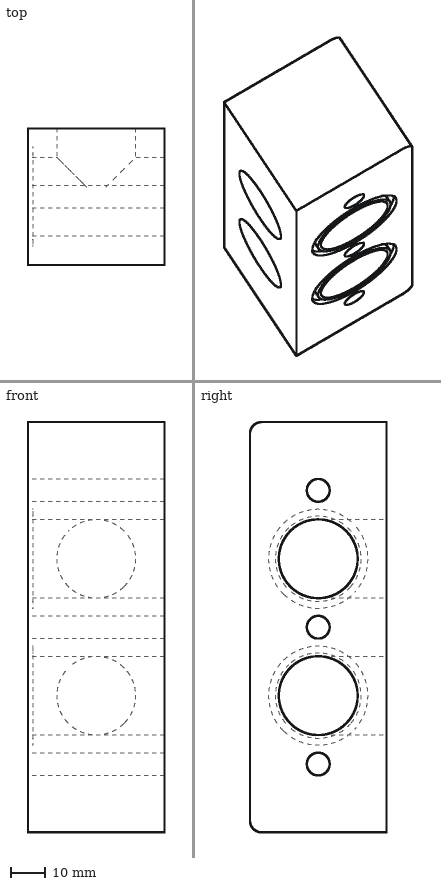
import cadquery as cq

width_x = 40.0
depth_y = 40.0
height_z = 120.0
front_edge_radius = 3.5

port_diameter = 23.0
port_pitch = 40.0
port_heights = [-port_pitch / 2, port_pitch / 2]

groove_inner_diameter = 25.0
groove_outer_diameter = 29.0
groove_depth = 1.5

mounting_hole_diameter = 6.6
mounting_hole_heights = [-port_pitch, 0.0, port_pitch]

port_face_x = -width_x / 2


def make_block():
    """Block centred on the origin, with its two horizontal -Y edges rounded."""
    block = cq.Workplane("XY").box(width_x, depth_y, height_z)
    return block.faces("<Y").edges("|X").fillet(front_edge_radius)


def cylinder_along_x(diameter, length, height):
    """Cylinder that starts on the -X face and runs toward +X, centred at Y = 0."""
    plane = cq.Workplane("YZ", origin=(port_face_x, 0, height))
    return plane.circle(diameter / 2).extrude(length)


def branch_bore(height):
    """Cylinder from the main bore axis out through the +Y face."""
    plane = cq.Workplane("XZ", origin=(0, 0, height))
    return plane.circle(port_diameter / 2).extrude(-depth_y / 2)


def seal_groove(height):
    """Shallow ring sunk into the -X face around a main bore."""
    outer = cylinder_along_x(groove_outer_diameter, groove_depth, height)
    inner = cylinder_along_x(groove_inner_diameter, groove_depth, height)
    return outer.cut(inner)


result = make_block()

for port_height in port_heights:
    result = result.cut(cylinder_along_x(port_diameter, width_x, port_height))
    result = result.cut(branch_bore(port_height))
    result = result.cut(seal_groove(port_height))

for hole_height in mounting_hole_heights:
    result = result.cut(cylinder_along_x(mounting_hole_diameter, width_x, hole_height))